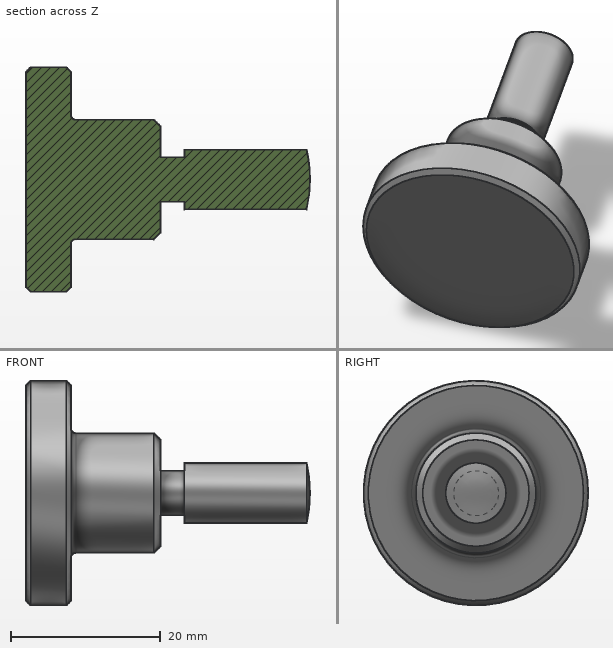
import cadquery as cq

total_length = 37.95

head_diameter = 30.0
head_radius = head_diameter / 2
head_length = 6.05
head_chamfer = 0.65

hub_radius = 8.0
hub_end = 18.0
hub_chamfer = 0.9
hub_root_fillet = 0.6

neck_radius = 3.0
neck_end = 21.17
pin_radius = 4.02
dome_height = 0.45

pin_end = total_length - dome_height
dome_radius = (pin_radius**2 + dome_height**2) / (2 * dome_height)
dome_mid_radius = pin_radius / 2
dome_mid_x = total_length - dome_radius + (dome_radius**2 - dome_mid_radius**2) ** 0.5

profile = (
    cq.Workplane("XY")
    .moveTo(0, 0)
    .lineTo(0, head_radius - head_chamfer)
    .lineTo(head_chamfer, head_radius)
    .lineTo(head_length - head_chamfer, head_radius)
    .lineTo(head_length, head_radius - head_chamfer)
    .lineTo(head_length, hub_radius + hub_root_fillet)
    .radiusArc((head_length + hub_root_fillet, hub_radius), -hub_root_fillet)
    .lineTo(hub_end - hub_chamfer, hub_radius)
    .lineTo(hub_end, hub_radius - hub_chamfer)
    .lineTo(hub_end, neck_radius)
    .lineTo(neck_end, neck_radius)
    .lineTo(neck_end, pin_radius)
    .lineTo(pin_end, pin_radius)
    .threePointArc((dome_mid_x, dome_mid_radius), (total_length, 0))
    .close()
)

result = profile.revolve(360, (0, 0, 0), (1, 0, 0))